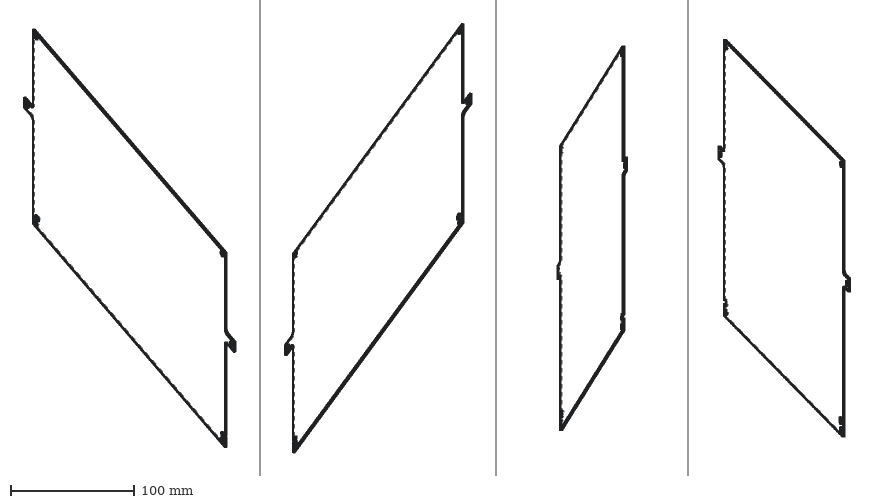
import cadquery as cq

overall_length = 313.0
plate_length = 286.0
plate_height = 240.0
thickness = 1.5

tab_height = 10.5
tab_center_z = 17.0
tab_root_radius = 3.0
tab_hole_inset = 4.0

fastener_diameter = 4.5
corner_inset = 4.5

locating_diameter = 5.3
locating_height = 12.0
locating_inset = 6.0
keyhole_inset = 3.0
keyhole_neck = 3.8

half_length = plate_length / 2
half_height = plate_height / 2


def block(length, height, x, z):
    """Full-thickness rectangular block centred at (x, z)."""
    return cq.Workplane("XY").box(length, thickness, height).translate((x, 0, z))


def pins(points, diameter):
    """Cylinders along Y that cut through holes at the given (x, z) points."""
    return cq.Workplane("XZ").pushPoints(points).circle(diameter / 2).extrude(thickness, both=True)


def make_blank():
    """Plate with a tab on each side, blended at the tab roots."""
    plate = block(plate_length, plate_height, 0, 0)
    tabs = block(overall_length, tab_height, 0, tab_center_z)
    margin = tab_root_radius / 2
    root_edges = cq.selectors.BoxSelector(
        (-half_length - margin, -thickness, tab_center_z - tab_height),
        (half_length + margin, thickness, tab_center_z + tab_height),
    )
    return plate.union(tabs).edges("|Y").edges(root_edges).fillet(tab_root_radius)


hole_x = half_length - corner_inset
hole_z = half_height - corner_inset
tab_hole_x = overall_length / 2 - tab_hole_inset
fastener_points = []
for side in (-1, 1):
    fastener_points.append((side * hole_x, hole_z))
    fastener_points.append((side * hole_x, -hole_z))
    fastener_points.append((side * tab_hole_x, tab_center_z))

locating_z = -half_height + locating_height
keyhole_x = half_length - keyhole_inset
locating_points = [(-half_length + locating_inset, locating_z), (keyhole_x, locating_z)]
neck = block(2 * keyhole_inset, keyhole_neck, half_length, locating_z)

result = (
    make_blank()
    .cut(pins(fastener_points, fastener_diameter))
    .cut(pins(locating_points, locating_diameter))
    .cut(neck)
)